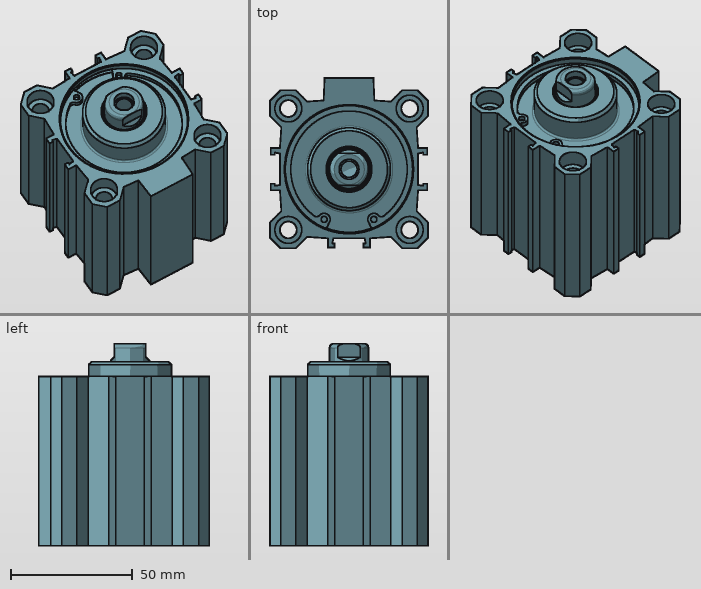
import cadquery as cq
import math

body_height = 69.5
boss_top = 75.5
rod_top = 83.0

body_width = 65.0
length_with_port_block = 70.0
half_width = body_width / 2
port_block_reach = length_with_port_block - half_width
wall_offset = 28.4
wall_offset_at_pad = 27.8
pad_chamfer = 4.4
pad_inner = 21.9
pad_root = pad_inner - (half_width - wall_offset_at_pad)
port_block_tip_width = 20.2
port_block_root_width = 20.9

rail_outer = 8.7
rail_reach = 32.2
rail_hook_width = 2.8
rail_hook_depth = 1.75
rail_root_thickness = 2.3
rail_neck_thickness = 1.9

bolt_spacing = 49.8
bolt_hole_diameter = 6.8
bolt_head_diameter = 11.0
bolt_head_depth = 7.0

bore_diameter = 52.2
bore_chamfer = 0.4
bore_mouth_diameter = bore_diameter + 2 * bore_chamfer
ring_depth = 3.0
ring_thickness = 2.0
ring_outer_diameter = 55.2
ring_inner_diameter = 47.8
lug_radius = 2.5
lug_hole_diameter = 2.5
lug_x = 10.2
lug_y = -20.6
lug_blend_radius = 1.7
ring_end_angle = 26.0

cover_thickness = 11.6
cover_diameter = 51.8
boss_diameter = 34.0
boss_chamfer = 1.25
boss_root_fillet = 0.8
rod_bore_diameter = 16.5
wiper_lip_diameter = 17.7
wiper_lip_depth = 1.0
wiper_groove_diameter = 18.0
wiper_mouth_diameter = 18.8
wiper_lip_height = (wiper_lip_diameter - rod_bore_diameter) / 2
wiper_mouth_depth = (wiper_mouth_diameter - wiper_groove_diameter) / 2

rod_diameter = 16.0
rod_fillet = 1.8
flat_spacing = 13.0
flat_length = 5.6
flat_margin = 0.4
rod_mouth_diameter = 8.2
rod_mouth_depth = 3.15
rod_hole_diameter = 6.6
rod_hole_depth = 11.6
hole_point_angle = 166.0

ring_top = body_height - ring_depth
flange_top = ring_top - ring_thickness
bore_floor = flange_top - cover_thickness


def cylinder(diameter, bottom, top):
    return cq.Workplane("XY").workplane(offset=bottom).circle(diameter / 2).extrude(top - bottom)


def cone(bottom_diameter, top_diameter, bottom, height):
    solid = cq.Solid.makeCone(bottom_diameter / 2, top_diameter / 2, height, cq.Vector(0, 0, bottom))
    return cq.Workplane(solid)


def side_outline():
    """Points of one quarter of the outline: from the -X wall around the corner pad to the +Y wall."""
    return [
        (-wall_offset, rail_outer),
        (-wall_offset_at_pad, pad_root),
        (-half_width, pad_inner),
        (-half_width, half_width - pad_chamfer),
        (-half_width + pad_chamfer, half_width),
        (-pad_inner, half_width),
        (-pad_root, wall_offset_at_pad),
        (-rail_outer, wall_offset),
    ]


def turned(points, quarter_turns):
    """The points turned clockwise about the origin by quarter turns."""
    for _ in range(quarter_turns):
        points = [(y, -x) for x, y in points]
    return points


def rail(quarter_turns, mirror):
    """One hooked rail of the -X side, turned to another side."""
    rail_inner = rail_outer - rail_hook_width
    hook_root = rail_reach - rail_hook_depth
    points = [
        (-wall_offset_at_pad, rail_outer),
        (-rail_reach, rail_outer),
        (-rail_reach, rail_inner),
        (-hook_root, rail_inner),
        (-hook_root, rail_outer - rail_neck_thickness),
        (-wall_offset, rail_outer - rail_root_thickness),
        (-wall_offset_at_pad, rail_outer - rail_root_thickness),
    ]
    points = turned([(x, mirror * y) for x, y in points], quarter_turns)
    return cq.Workplane("XY").polyline(points).close().extrude(body_height)


def make_housing():
    outline = []
    for quarter in range(4):
        outline += turned(side_outline(), quarter)
    housing = cq.Workplane("XY").polyline(outline).close().extrude(body_height)

    port_block = [
        (-port_block_root_width / 2, wall_offset_at_pad),
        (-port_block_tip_width / 2, port_block_reach),
        (port_block_tip_width / 2, port_block_reach),
        (port_block_root_width / 2, wall_offset_at_pad),
    ]
    housing = housing.union(cq.Workplane("XY").polyline(port_block).close().extrude(body_height))

    for quarter_turns in (0, 2, 3):
        for mirror in (1, -1):
            housing = housing.union(rail(quarter_turns, mirror))

    housing = (
        housing.faces(">Z").workplane(origin=(0, 0, body_height))
        .rect(bolt_spacing, bolt_spacing, forConstruction=True)
        .vertices()
        .cboreHole(bolt_hole_diameter, bolt_head_diameter, bolt_head_depth)
    )

    bore = cylinder(bore_diameter, bore_floor, body_height)
    mouth = cone(bore_diameter, bore_mouth_diameter, body_height - bore_chamfer, bore_chamfer)
    ring_groove = cylinder(ring_outer_diameter, flange_top, ring_top)
    return housing.cut(bore).cut(mouth).cut(ring_groove)


def make_retaining_ring():
    blank = cq.Workplane("XY").workplane(offset=flange_top)
    ring = blank.circle(ring_outer_diameter / 2).circle(ring_inner_diameter / 2).extrude(ring_thickness)

    lugs = blank.pushPoints([(-lug_x, lug_y), (lug_x, lug_y)])
    ring = ring.union(lugs.circle(lug_radius).extrude(ring_thickness))

    slope = math.radians(ring_end_angle)
    gap_top_x = lug_x - lug_radius * math.cos(slope)
    gap_top_y = lug_y - lug_radius * math.sin(slope)
    gap_bottom_y = -ring_outer_diameter / 2
    gap_bottom_x = gap_top_x + (gap_top_y - gap_bottom_y) * math.tan(slope)
    gap = [
        (-gap_top_x, gap_top_y),
        (gap_top_x, gap_top_y),
        (gap_bottom_x, gap_bottom_y),
        (-gap_bottom_x, gap_bottom_y),
    ]
    ring = ring.cut(blank.polyline(gap).close().extrude(ring_thickness))

    lug_corners = cq.selectors.BoxSelector(
        (-lug_x - 2 * lug_radius, lug_y, flange_top),
        (lug_x + 2 * lug_radius, lug_y + lug_radius, ring_top),
    )
    ring = ring.edges("|Z").edges(lug_corners).fillet(lug_blend_radius)

    return ring.cut(lugs.circle(lug_hole_diameter / 2).extrude(ring_thickness))


def make_cover():
    flange = cylinder(cover_diameter, bore_floor, flange_top)
    boss = cylinder(boss_diameter, flange_top, boss_top).faces(">Z").edges().chamfer(boss_chamfer)
    cover = flange.union(boss)
    boss_root = cq.selectors.BoxSelector(
        (-boss_diameter, -boss_diameter, flange_top - boss_root_fillet),
        (boss_diameter, boss_diameter, flange_top + boss_root_fillet),
    )
    cover = cover.edges(boss_root).edges(cq.selectors.RadiusNthSelector(0)).fillet(boss_root_fillet)

    lip_top = boss_top - wiper_lip_depth
    groove_floor = lip_top - wiper_lip_height
    groove = cylinder(wiper_groove_diameter, groove_floor, boss_top)
    mouth_bottom = boss_top - wiper_mouth_depth
    mouth = cone(wiper_groove_diameter, wiper_mouth_diameter, mouth_bottom, wiper_mouth_depth)
    lip = cone(wiper_lip_diameter, rod_bore_diameter, groove_floor, wiper_lip_height)
    cover = cover.cut(groove.cut(lip)).cut(mouth)

    return cover.cut(cylinder(rod_bore_diameter, bore_floor, boss_top))


def rod_flat(side):
    """The piece cut away from one side (+1 or -1 along Y), with a foot sloping down at 45 degrees."""
    inner = flat_spacing / 2
    outer = rod_diameter / 2 + flat_margin
    foot = rod_top - flat_length
    profile = [
        (side * inner, rod_top),
        (side * inner, foot),
        (side * outer, foot - (outer - inner)),
        (side * outer, rod_top),
    ]
    return cq.Workplane("YZ").polyline(profile).close().extrude(rod_diameter / 2, both=True)


def make_rod():
    rod = cylinder(rod_diameter, bore_floor, rod_top).faces(">Z").edges().fillet(rod_fillet)
    for side in (1, -1):
        rod = rod.cut(rod_flat(side))

    rod = rod.cut(cylinder(rod_mouth_diameter, rod_top - rod_mouth_depth, rod_top))
    hole_bottom = rod_top - rod_hole_depth
    rod = rod.cut(cylinder(rod_hole_diameter, hole_bottom, rod_top))
    point_height = rod_hole_diameter / 2 / math.tan(math.radians(hole_point_angle / 2))
    return rod.cut(cone(0, rod_hole_diameter, hole_bottom - point_height, point_height))


housing = make_housing()
retaining_ring = make_retaining_ring()
cover = make_cover()
rod = make_rod()

result = cq.Compound.makeCompound([
    housing.val(),
    retaining_ring.val(),
    cover.val(),
    rod.val(),
])